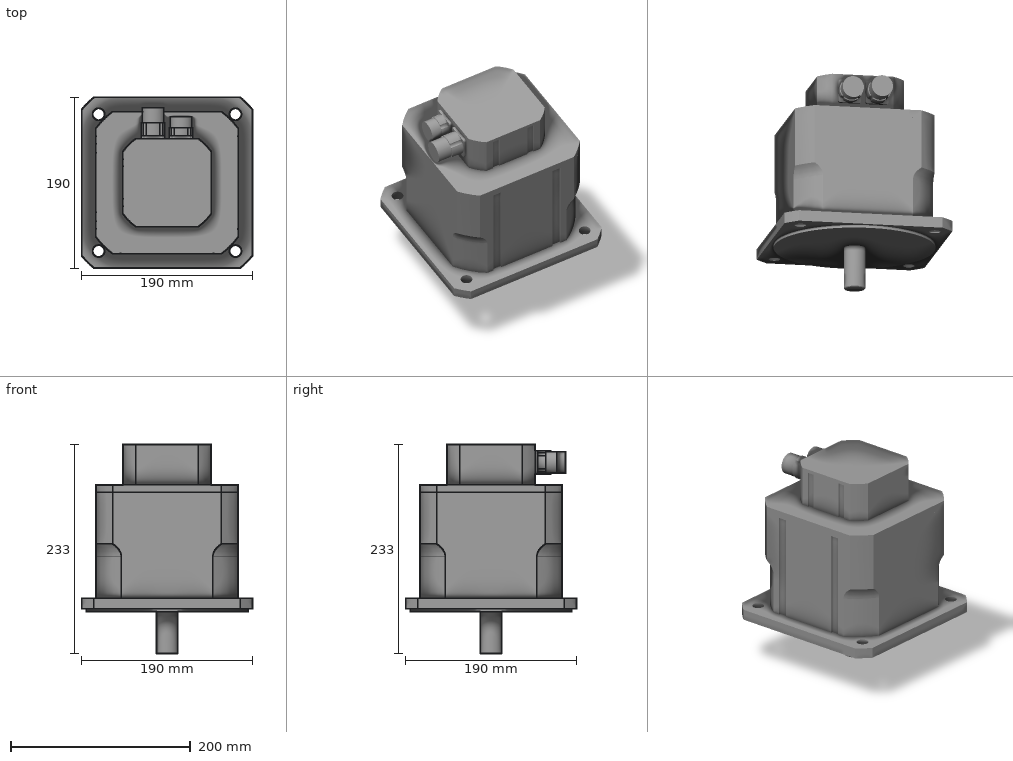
import cadquery as cq
import math


total_height = 233.0
shaft_reach = 50.0
pilot_height = 3.0
flange_thickness = 12.0
cover_plate_thickness = 8.5
encoder_height = 45.0
top_z = total_height - shaft_reach
encoder_z = top_z - encoder_height
plate_z = encoder_z - cover_plate_thickness

flange_width = 190.0
flange_corner_radius = 125.0
body_width = 158.0
body_corner_radius = 99.5
encoder_width = 98.0
encoder_corner_radius = 60.0

pilot_diameter = 180.0
bolt_hole_diameter = 13.0
bolt_circle_diameter = 215.0

recess_radius = 94.0
recess_straight_height = 46.5
recess_straight_top_z = flange_thickness + recess_straight_height
recess_cove_radius = 20.0

body_groove_depth = 2.0
body_groove_width = 10.0
body_groove_offset = 38.0
encoder_groove_depth = 1.5
encoder_groove_width = 8.0
encoder_groove_offset = 22.0
encoder_groove_top_margin = 4.0

shaft_diameter = 24.0
shaft_chamfer = 0.8

connector_x = 15.5
connector_depth_below_top = 20.0
connector_z = top_z - connector_depth_below_top
connector_base_width = 26.0
connector_base_thickness = 3.0
connector_base_fillet = 2.5
connector_collar_diameter = 26.0
connector_tail_diameter = 24.0
screw_relief_diameter = 6.65
screw_relief_offset = 10.7
connector_sizes = [
    (-connector_x, 14.5, 16.5),
    (connector_x, 9.0, 12.0),
]


def rounded_square(width, corner_radius, bottom_z, height):
    """Square prism trimmed by a cylinder about the Z axis."""
    prism = cq.Workplane("XY", origin=(0, 0, bottom_z)).rect(width, width).extrude(height)
    trim = cq.Workplane("XY", origin=(0, 0, bottom_z)).circle(corner_radius).extrude(height)
    return prism.intersect(trim)


def side_grooves(width, depth, offset, face_x, start_z, end_z):
    """Pair of vertical cutters sunk into a face on the -X side."""
    return (
        cq.Workplane("XY", origin=(face_x, 0, start_z))
        .pushPoints([(0, -offset), (0, offset)])
        .rect(2 * depth, width)
        .extrude(end_z - start_z)
    )


def corner_recess():
    """Ring that trims the body corners, ending upward in a concave cove."""
    outer_radius = flange_corner_radius
    cove_center_radius = recess_radius + recess_cove_radius
    cove_top_z = recess_straight_top_z + recess_cove_radius
    diagonal = recess_cove_radius * math.sqrt(0.5)
    return (
        cq.Workplane("XZ")
        .moveTo(recess_radius, flange_thickness)
        .lineTo(outer_radius, flange_thickness)
        .lineTo(outer_radius, cove_top_z)
        .lineTo(cove_center_radius, cove_top_z)
        .threePointArc(
            (cove_center_radius - diagonal, recess_straight_top_z + diagonal),
            (recess_radius, recess_straight_top_z),
        )
        .close()
        .revolve(360, (0, 0, 0), (0, 1, 0))
    )


def make_housing():
    """Mounting flange with pilot, and the motor body above it."""
    flange = rounded_square(flange_width, flange_corner_radius, 0, flange_thickness)
    bolt_spacing = bolt_circle_diameter * math.sqrt(0.5)
    bolt_holes = (
        cq.Workplane("XY")
        .rect(bolt_spacing, bolt_spacing, forConstruction=True)
        .vertices()
        .circle(bolt_hole_diameter / 2)
        .extrude(flange_thickness)
    )
    pilot = cq.Workplane("XY").circle(pilot_diameter / 2).extrude(-pilot_height)
    body = rounded_square(body_width, body_corner_radius, flange_thickness, plate_z - flange_thickness)
    grooves = side_grooves(
        body_groove_width,
        body_groove_depth,
        body_groove_offset,
        -body_width / 2,
        flange_thickness,
        plate_z,
    )
    body = body.cut(corner_recess()).cut(grooves)
    return flange.cut(bolt_holes).union(pilot).union(body)


def make_rear_cover():
    """Plate closing the housing, with the encoder cap on top."""
    plate = rounded_square(body_width, body_corner_radius, plate_z, cover_plate_thickness)
    cap = rounded_square(encoder_width, encoder_corner_radius, encoder_z, encoder_height)
    grooves = side_grooves(
        encoder_groove_width,
        encoder_groove_depth,
        encoder_groove_offset,
        -encoder_width / 2,
        encoder_z,
        top_z - encoder_groove_top_margin,
    )
    return plate.union(cap.cut(grooves))


def make_shaft():
    """Output shaft, standing on the pilot face."""
    return (
        cq.Workplane("XY", origin=(0, 0, -pilot_height))
        .circle(shaft_diameter / 2)
        .extrude(pilot_height - shaft_reach)
        .faces("<Z")
        .chamfer(shaft_chamfer)
    )


def make_connector(x, collar_length, tail_length):
    """Square base, collar with four screw reliefs, and round tail, along +Y."""
    base_y = encoder_width / 2
    collar_y = base_y + connector_base_thickness
    tail_y = collar_y + collar_length

    def section_at(y):
        return cq.Workplane("XZ", origin=(x, y, connector_z))

    base = (
        section_at(base_y)
        .rect(connector_base_width, connector_base_width)
        .extrude(-connector_base_thickness)
        .edges("|Y")
        .fillet(connector_base_fillet)
    )
    collar = section_at(collar_y).circle(connector_collar_diameter / 2).extrude(-collar_length)
    reliefs = (
        section_at(collar_y)
        .rect(2 * screw_relief_offset, 2 * screw_relief_offset, forConstruction=True)
        .vertices()
        .circle(screw_relief_diameter / 2)
        .extrude(-collar_length)
    )
    tail = section_at(tail_y).circle(connector_tail_diameter / 2).extrude(-tail_length)
    return base.union(collar.cut(reliefs)).union(tail)


housing = make_housing()
rear_cover = make_rear_cover()
shaft = make_shaft()
connectors = [make_connector(*sizes) for sizes in connector_sizes]

result = cq.Compound.makeCompound(
    [housing.val(), rear_cover.val(), shaft.val(), *[connector.val() for connector in connectors]]
)